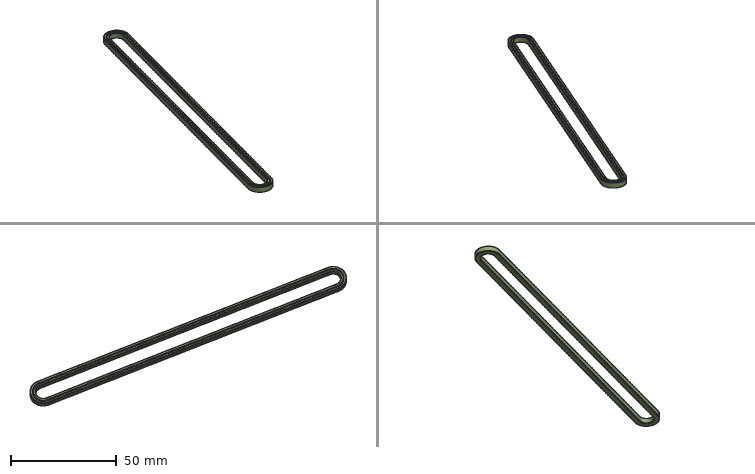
import cadquery as cq

length = 162.5
width = 12.5
height = 3.1

band_width = 2.8
edge_chamfer = 0.3

groove_width = 0.5
groove_depth = 0.25


def stadium(inset, depth):
    """Solid with straight sides and round ends, its outline inset from that of the part."""
    return cq.Workplane("XY").slot2D(length - 2 * inset, width - 2 * inset).extrude(depth)


def stadium_ring(inset, wall, depth):
    """Ring of the given wall width, starting at the given inset."""
    return stadium(inset, depth).cut(stadium(inset + wall, depth))


band = stadium_ring(0, band_width, height).translate((0, 0, -height / 2))
band = band.faces("|Z").edges().chamfer(edge_chamfer)

groove_inset = (band_width - groove_width) / 2
groove = stadium_ring(groove_inset, groove_width, groove_depth)
groove = groove.translate((0, 0, height / 2 - groove_depth))

result = band.cut(groove)